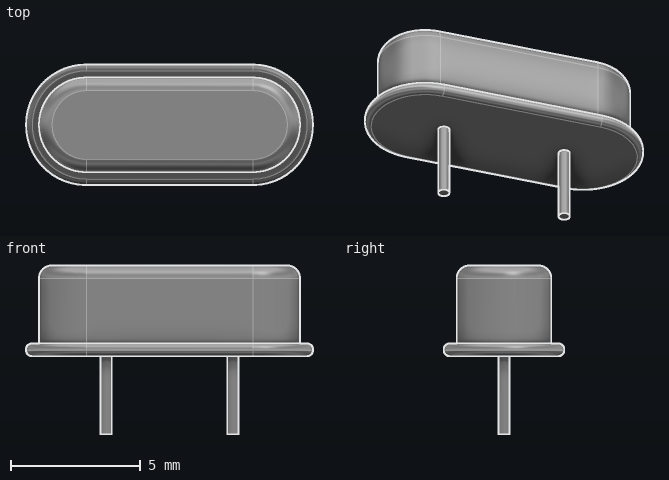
import cadquery as cq

straight_length = 6.4
can_width = 3.65
can_height = 3.0
can_top_radius = 0.5
flange_overhang = 0.5
flange_thickness = 0.5
flange_edge_radius = 0.24
pin_diameter = 0.44
pin_length = 3.0
pin_pitch = 4.88


def stadium(width, height, base_z):
    """Upright round-ended block, long along X, standing on base_z."""
    overall_length = straight_length + width
    return (
        cq.Workplane("XY")
        .workplane(offset=base_z)
        .slot2D(overall_length, width)
        .extrude(height)
    )


def make_flange():
    """Base flange with its upper and lower rims rounded."""
    flange_width = can_width + 2 * flange_overhang
    flange = stadium(flange_width, flange_thickness, 0)
    return flange.faces("<Z or >Z").edges().fillet(flange_edge_radius)


def make_can():
    """Can with a rounded top rim, seated on the flange."""
    can = stadium(can_width, can_height, flange_thickness)
    return can.faces(">Z").edges().fillet(can_top_radius)


def make_pins():
    """Two round leads hanging from the underside of the flange."""
    return (
        cq.Workplane("XY")
        .pushPoints([(-pin_pitch / 2, 0), (pin_pitch / 2, 0)])
        .circle(pin_diameter / 2)
        .extrude(-pin_length)
    )


result = make_flange().union(make_can()).union(make_pins())